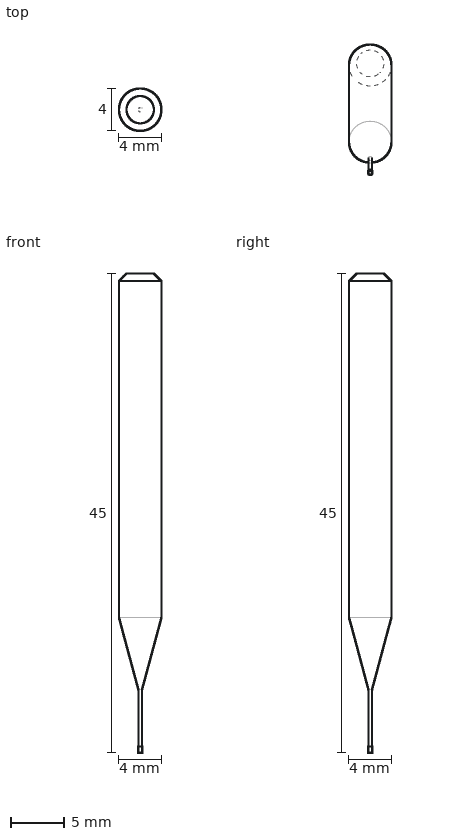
import cadquery as cq

total_length = 45.0
shank_diameter = 4.0
end_chamfer = 0.7
taper_top = 12.7
taper_bottom = 5.95
neck_diameter = 0.35
tip_diameter = 0.4
tip_length = 0.6

shank_radius = shank_diameter / 2
neck_radius = neck_diameter / 2


def make_holder():
    """Chamfered shank, taper and slim neck, revolved as one solid."""
    half_profile = [
        (0, tip_length),
        (neck_radius, tip_length),
        (neck_radius, taper_bottom),
        (shank_radius, taper_top),
        (shank_radius, total_length - end_chamfer),
        (shank_radius - end_chamfer, total_length),
        (0, total_length),
    ]
    return cq.Workplane("XZ").polyline(half_profile).close().revolve(360, (0, 0), (0, 1))


def make_cutting_tip():
    """Cylindrical cutting tip, slightly wider than the neck it meets."""
    return cq.Workplane("XY").circle(tip_diameter / 2).extrude(tip_length)


holder = make_holder()
cutting_tip = make_cutting_tip()

result = cq.Compound.makeCompound([holder.val(), cutting_tip.val()])